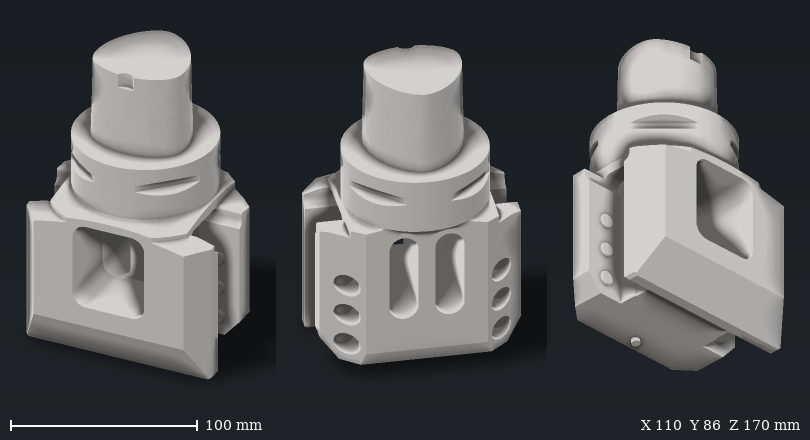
import cadquery as cq
import math


total_height = 170.0
total_width = 110.0
total_depth = 86.0
far = 2 * total_height
overlap = 1.7

shank_length = 47.6
shank_mean_radius = 27.5
shank_taper = 1 / 40
polygon_lobe = 2.0
profile_points = 36
notch_radius = 5.3
notch_height = 8.0
notch_center_y = -26.7

flange_radius = 80.0 / 2
flange_top = total_height - shank_length
flange_bottom = 92.0
flange_root_radius = 1.4
gripper_flat_distance = 35.5
gripper_flat_height = 3.5
gripper_center_z = 110.3
gripper_flank_angle = 30.0

half_width = total_width / 2
front_y = flange_radius - total_depth
rear_y = 32.1
front_corner = (44.5, front_y)
front_side_y = -32.6
rear_side_y = 13.8
rear_corner = (33.3, rear_y)
plate_half_width = 40.6
core_bottom = 7.5

plate_cone_top = 90.8
plate_cone_slope = math.tan(math.radians(15.0))
jaw_cone_slope = math.tan(math.radians(18.0))
plate_rim_radius = 52.5
plate_foot_radius = 0.5
jaw_top = 84.3

slot_front_y = -24.8
slot_rear_y = 1.9
slot_floor_x = 30.3
pad_height = 0.7
pad_front_y = -9.0
relief_front_y = -29.2
relief_rear_y = 4.8
relief_bottom = 74.8
relief_top = 85.0
relief_edge_radius = 1.7

window_width = 42.5
window_bottom = 34.5
window_top = 84.5
window_corner = 7.8
window_back_chamfer = 0.8
window_back_y = pad_front_y
slot_hole_width = 16.0
slot_hole_x = 12.5

screw_x = 42.2
screw_pitch = 18.0
lowest_screw_z = 18.2
screw_count = 3
counterbore_diameter = 12.5
counterbore_floor_y = 13.6
screw_diameter = 8.5
screw_tip_y = 0.2
screw_tip_chamfer = 0.7

front_bevel_height = 22.8
front_bevel_foot_y = -33.2
front_inner_chamfer = 2.2
front_end_chamfer_x = 2.0
front_end_chamfer_z = 1.5
rear_end_chamfer_x = 9.0
rear_end_chamfer_z = 10.2
rear_edge_chamfer_y = 2.0
rear_edge_chamfer_z = 7.3

pin_diameter = 5.0
pin_center_y = 22.1
pin_tip_z = 4.6
pin_tilt = 10.0


def box(x_range, y_range, z_range):
    """Box given by its limits along each axis."""
    (x0, x1), (y0, y1), (z0, z1) = x_range, y_range, z_range
    return cq.Workplane("XY").box(x1 - x0, y1 - y0, z1 - z0, centered=False).translate((x0, y0, z0))


def both_sides(solid):
    """The solid together with its mirror image about the YZ plane."""
    return solid.union(solid.mirror("YZ"))


def prism_along_x(points_yz):
    """Prism with a polygonal YZ section, wider than the part."""
    return cq.Workplane("YZ").polyline(points_yz).close().extrude(far, both=True)


def prism_along_y(points_xz, y0, y1):
    """Prism with a polygonal XZ section."""
    return cq.Workplane("XZ").polyline(points_xz).close().extrude(y0 - y1).translate((0, y0, 0))


def polygon_profile(radius):
    """Points on the three-lobed constant-width profile, one lobe pointing to +Y."""
    points = []
    for k in range(profile_points):
        a = 2 * math.pi * k / profile_points
        along_lobe = radius * math.cos(a) - polygon_lobe * (math.cos(4 * a) - 2 * math.cos(2 * a))
        across_lobe = radius * math.sin(a) - polygon_lobe * (math.sin(4 * a) + 2 * math.sin(2 * a))
        points.append((-across_lobe, along_lobe))
    return points


def make_shank():
    tip_radius = shank_mean_radius - shank_taper * shank_length
    shank = (
        cq.Workplane("XY", origin=(0, 0, flange_top))
        .spline(polygon_profile(shank_mean_radius), periodic=True)
        .close()
        .workplane(offset=shank_length)
        .spline(polygon_profile(tip_radius), periodic=True)
        .close()
        .loft(ruled=True)
    )
    notch = (
        cq.Workplane("XY", origin=(0, notch_center_y, total_height - notch_height))
        .circle(notch_radius)
        .extrude(notch_height)
    )
    return shank.cut(notch)


def make_gripper_groove():
    """Trapezoidal groove, open outwards along +X."""
    reach = flange_radius - gripper_flat_distance + overlap
    inner = gripper_flat_height / 2
    outer = inner + reach * math.tan(math.radians(gripper_flank_angle))
    section = [
        (gripper_flat_distance, gripper_center_z - inner),
        (gripper_flat_distance + reach, gripper_center_z - outer),
        (gripper_flat_distance + reach, gripper_center_z + outer),
        (gripper_flat_distance, gripper_center_z + inner),
    ]
    return prism_along_y(section, -flange_radius, flange_radius)


def make_shoulders():
    """Body of revolution bounding the top: an upper cone, a step, then a lower cone."""
    outer_radius = total_width
    foot = plate_foot_radius
    foot_mid = foot * (1 - math.sqrt(0.5))
    rim_z = plate_cone_top - plate_cone_slope * (plate_rim_radius - flange_radius)
    outer_z = jaw_top - jaw_cone_slope * (outer_radius - plate_rim_radius - foot)
    shoulders = (
        cq.Workplane("XZ")
        .lineTo(outer_radius, 0)
        .lineTo(outer_radius, outer_z)
        .lineTo(plate_rim_radius + foot, jaw_top)
        .threePointArc(
            (plate_rim_radius + foot_mid, jaw_top + foot_mid),
            (plate_rim_radius, jaw_top + foot),
        )
        .lineTo(plate_rim_radius, rim_z)
        .lineTo(flange_radius, plate_cone_top)
        .lineTo(flange_radius, flange_bottom)
        .lineTo(0, flange_bottom)
        .close()
        .revolve(360, (0, 0, 0), (0, 1, 0))
    )
    below_root = (plate_cone_top + rim_z) / 2
    above_root = (plate_cone_top + flange_bottom) / 2
    root_edge = cq.selectors.BoxSelector((-far, -far, below_root), (far, far, above_root))
    return shoulders.edges("%CIRCLE").edges(root_edge).fillet(flange_root_radius)


def make_blank():
    """Flange and body without slots, window or bottom bevels."""
    right_half = [front_corner, (half_width, front_side_y), (half_width, rear_side_y), rear_corner]
    left_half = [(-x, y) for x, y in reversed(right_half)]
    body = cq.Workplane("XY").polyline(right_half + left_half).close().extrude(flange_bottom)
    flange = cq.Workplane("XY", origin=(0, 0, flange_bottom)).circle(flange_radius)
    return body.intersect(make_shoulders()).union(flange.extrude(flange_top - flange_bottom))


def make_side_slot():
    """Slot on the +X side: free space beside the plate, relief, slot and the pad left in it."""
    beside_plate = box((plate_half_width, far), (-far, far), (jaw_top, flange_bottom))
    slot = box((slot_floor_x, far), (slot_front_y, slot_rear_y), (0, relief_bottom + overlap))
    relief_middle_y = (relief_rear_y + relief_front_y) / 2
    relief_middle_z = (relief_top + relief_bottom) / 2
    relief_length = relief_rear_y - relief_front_y
    relief_height = relief_top - relief_bottom
    relief = (
        cq.Workplane("YZ", origin=(slot_floor_x, relief_middle_y, relief_middle_z))
        .slot2D(relief_length, relief_height)
        .extrude(far)
    )
    above_relief = box(
        (plate_half_width, far),
        (relief_front_y, relief_rear_y),
        (relief_middle_z, flange_bottom),
    )
    pad = box((0, slot_floor_x + pad_height), (pad_front_y, slot_rear_y), (0, relief_bottom))
    return beside_plate.union(slot).union(relief).union(above_relief).cut(pad)


def make_rounding():
    """Material rounded off the top inner edge of the +X rear jaw."""
    r = relief_edge_radius
    block = box(
        (plate_half_width, far),
        (relief_rear_y - overlap, relief_rear_y + r),
        (jaw_top - r, jaw_top),
    )
    rod = cq.Workplane("YZ", origin=(0, relief_rear_y + r, jaw_top - r)).circle(r).extrude(far)
    return block.cut(rod)


def cut_bottom(part):
    """Raise the core bottom and bevel the lower edges of the front and rear jaws."""
    part = part.cut(box((-far, far), (slot_front_y, far), (0, core_bottom)))
    part = part.cut(prism_along_x([
        (front_y, 0), (front_bevel_foot_y, 0), (front_y, front_bevel_height),
    ]))
    part = part.cut(prism_along_x([
        (slot_front_y, 0), (slot_front_y - front_inner_chamfer, 0), (slot_front_y, front_inner_chamfer),
    ]))
    part = part.cut(prism_along_x([
        (rear_y, core_bottom),
        (rear_y - rear_edge_chamfer_y, core_bottom),
        (rear_y, core_bottom + rear_edge_chamfer_z),
    ]))
    front_end = prism_along_y([
        (half_width, 0), (half_width - front_end_chamfer_x, 0), (half_width, front_end_chamfer_z),
    ], front_y, slot_front_y)
    rear_end = prism_along_y([
        (half_width, core_bottom),
        (half_width - rear_end_chamfer_x, core_bottom),
        (half_width, core_bottom + rear_end_chamfer_z),
    ], slot_rear_y, rear_y)
    return part.cut(both_sides(front_end)).cut(both_sides(rear_end))


def make_window():
    """Front pocket with two upright round-ended openings through to the rear."""
    height = window_top - window_bottom
    start_y = window_back_y - window_back_chamfer
    middle_z = (window_top + window_bottom) / 2
    pocket = (
        box((-window_width / 2, window_width / 2), (front_y, window_back_y), (window_bottom, window_top))
        .edges("|Y")
        .fillet(window_corner)
        .faces(">Y")
        .chamfer(window_back_chamfer)
    )
    openings = (
        cq.Workplane("XZ", origin=(0, start_y, middle_z))
        .pushPoints([(-slot_hole_x, 0), (slot_hole_x, 0)])
        .slot2D(height, slot_hole_width, 90)
        .extrude(start_y - rear_y)
    )
    return pocket.union(openings)


def make_screw_cylinders(diameter, y_near, y_far):
    """Cylinders along Y, from y_near back to y_far, on all clamping screw axes."""
    places = [
        (side * screw_x, lowest_screw_z + k * screw_pitch)
        for side in (-1, 1)
        for k in range(screw_count)
    ]
    return (
        cq.Workplane("XZ", origin=(0, y_far, 0))
        .pushPoints(places)
        .circle(diameter / 2)
        .extrude(y_far - y_near)
    )


def make_pin():
    """Slightly tilted pin standing out of the core bottom."""
    return (
        cq.Workplane("XY", origin=(0, pin_center_y, pin_tip_z))
        .circle(pin_diameter / 2)
        .extrude(2 * (core_bottom - pin_tip_z))
        .rotate((0, pin_center_y, core_bottom), (1, pin_center_y, core_bottom), -pin_tilt)
    )


holder = make_blank()
for quarter in range(4):
    holder = holder.cut(make_gripper_groove().rotate((0, 0, 0), (0, 0, 1), 45 + 90 * quarter))
holder = holder.union(make_shank())
holder = holder.cut(both_sides(make_side_slot()))
holder = holder.cut(both_sides(make_rounding()))
holder = cut_bottom(holder)
holder = holder.cut(make_window())

counterbores = make_screw_cylinders(counterbore_diameter, counterbore_floor_y, rear_y)
screws = make_screw_cylinders(screw_diameter, screw_tip_y, counterbore_floor_y)
screws = screws.faces("<Y").chamfer(screw_tip_chamfer)
holder = holder.cut(counterbores).union(screws)

result = holder.union(make_pin())